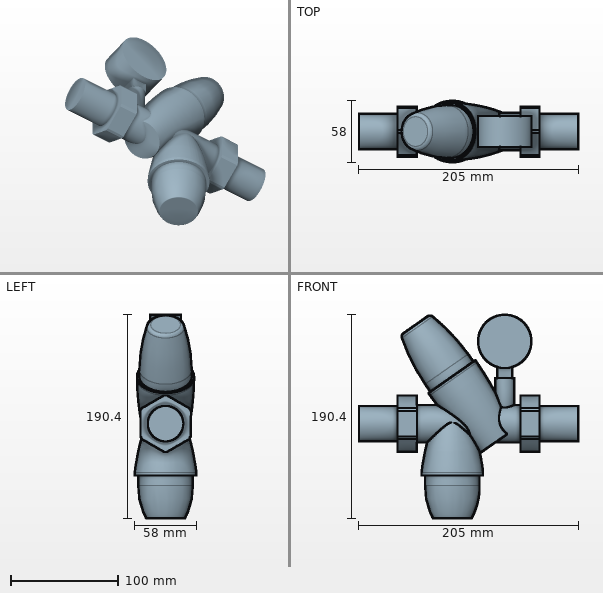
import cadquery as cq

run_length = 205.0
pipe_radius = 16.6
body_radius = 17.6

nut_flats = 47.2
nut_corner_cut = 1.6
nut_width = 18.0
nut_outer_offset = 66.5

bowl_x = -15.2
bowl_root_z = 1.6
bowl_root_radius = 17.5
bowl_mid_z = -17.5
bowl_mid_radius = 23.5
bowl_rim_z = -45.5
bowl_rim_radius = 29.0
bowl_rim_height = 3.0
bowl_cap_radius = 25.6
bowl_collar_end_z = -57.8
bowl_bottom_z = -88.5
bowl_bottom_radius = 18.0
bowl_bulge_z = -74.8
bowl_bulge_radius = 23.5
bowl_edge_round = 0.6

branch_tilt = 35.0
branch_shoulder_x = -15.5
branch_shoulder_z = 43.9
branch_root = -73.5
branch_root_radius = 18.7
branch_mid = -41.0
branch_mid_radius = 24.2
branch_rim_radius = 26.9
branch_rim_height = 2.5
branch_cap_radius = 24.5
branch_collar_height = 8.6
branch_cap_height = 59.2
branch_top_radius = 16.8
branch_bulge_height = 35.9
branch_bulge_radius = 22.1
branch_edge_round = 3.9

gauge_x = 33.8
gauge_z = 76.9
gauge_radius = 25.0
gauge_thickness = 29.0
stem_radius = 9.0
stem_top_z = 42.5
neck_width = 14.1


def rod_along_x(radius, length):
    return cq.Workplane("YZ", origin=(-length / 2, 0, 0)).circle(radius).extrude(length)


def make_nut(start_x):
    corner_diameter = nut_flats / 3**0.5 * 2
    return (
        cq.Workplane("YZ", origin=(start_x, 0, 0))
        .polygon(6, corner_diameter)
        .extrude(nut_width)
        .rotate((0, 0, 0), (1, 0, 0), 90)
        .edges("|X")
        .chamfer(nut_corner_cut)
    )


def make_bowl():
    """Bulging bowl with a rim, a straight collar and a rounded cap, revolved about Z."""
    rim_bottom_z = bowl_rim_z - bowl_rim_height
    profile = (
        cq.Workplane("XZ")
        .moveTo(0, bowl_root_z)
        .lineTo(bowl_root_radius, bowl_root_z)
        .threePointArc((bowl_mid_radius, bowl_mid_z), (bowl_rim_radius, bowl_rim_z))
        .lineTo(bowl_rim_radius, rim_bottom_z)
        .lineTo(bowl_cap_radius, rim_bottom_z)
        .lineTo(bowl_cap_radius, bowl_collar_end_z)
        .threePointArc((bowl_bulge_radius, bowl_bulge_z), (bowl_bottom_radius, bowl_bottom_z))
        .lineTo(0, bowl_bottom_z)
        .close()
    )
    bowl = profile.revolve(360, (0, 0, 0), (0, 1, 0))
    return bowl.faces("<Z").edges().fillet(bowl_edge_round).translate((bowl_x, 0, 0))


def make_branch():
    """Bulging branch with a rim, a straight collar and a tapered cap, revolved then tilted."""
    profile = (
        cq.Workplane("XZ")
        .moveTo(0, branch_root)
        .lineTo(branch_root_radius, branch_root)
        .threePointArc((branch_mid_radius, branch_mid), (branch_rim_radius, -branch_rim_height))
        .lineTo(branch_rim_radius, 0)
        .lineTo(branch_cap_radius, 0)
        .lineTo(branch_cap_radius, branch_collar_height)
        .threePointArc((branch_bulge_radius, branch_bulge_height), (branch_top_radius, branch_cap_height))
        .lineTo(0, branch_cap_height)
        .close()
    )
    branch = profile.revolve(360, (0, 0, 0), (0, 1, 0))
    branch = branch.faces(">Z").edges().fillet(branch_edge_round)
    branch = branch.rotate((0, 0, 0), (0, 1, 0), -branch_tilt)
    return branch.translate((branch_shoulder_x, 0, branch_shoulder_z))


def make_gauge():
    stem = cq.Workplane("XY").center(gauge_x, 0).circle(stem_radius).extrude(stem_top_z)
    neck = (
        cq.Workplane("XY", origin=(gauge_x, 0, stem_top_z))
        .rect(neck_width, neck_width)
        .extrude(gauge_z - stem_top_z)
    )
    dial = (
        cq.Workplane("XZ", origin=(gauge_x, gauge_thickness / 2, gauge_z))
        .circle(gauge_radius)
        .extrude(gauge_thickness)
    )
    return stem.union(neck).union(dial)


result = rod_along_x(pipe_radius, run_length)
result = result.union(rod_along_x(body_radius, 2 * nut_outer_offset - nut_width))
for nut_start_x in (-nut_outer_offset, nut_outer_offset - nut_width):
    result = result.union(make_nut(nut_start_x))
result = result.union(make_bowl()).union(make_branch()).union(make_gauge())